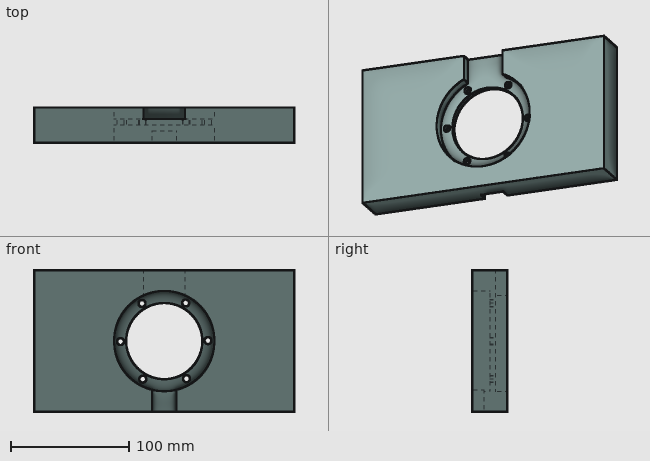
import cadquery as cq
import math

length = 220.0
thickness = 30.0
height = 120.0
front_y = -thickness / 2
back_y = thickness / 2

front_bore_diameter = 85.0
front_bore_depth = 15.0
front_slot_width = 20.5
front_slot_depth = 10.0

back_bore_diameter = 85.0
back_slot_width = 35.2
back_depth = 10.0

bore_diameter = 64.2
hole_diameter = 5.7
hole_circle_diameter = 74.0
hole_count = 6
hole_start_angle = 0.6


def cylinder(diameter, start_y, depth, x=0.0, z=0.0):
    """Cylinder running from start_y toward +Y."""
    return cq.Workplane(
        cq.Solid.makeCylinder(diameter / 2, depth, cq.Vector(x, start_y, z), cq.Vector(0, 1, 0))
    )


def slot(width, start_y, depth, direction):
    """Straight slot from the bore axis to the upper (+1) or lower (-1) edge."""
    return cq.Workplane("XY").box(width, depth, height / 2).translate(
        (0, start_y + depth / 2, direction * height / 4)
    )


result = cq.Workplane("XY").box(length, thickness, height)

result = result.cut(cylinder(front_bore_diameter, front_y, front_bore_depth))
result = result.cut(slot(front_slot_width, front_y, front_slot_depth, -1))

result = result.cut(cylinder(back_bore_diameter, back_y - back_depth, back_depth))
result = result.cut(slot(back_slot_width, back_y - back_depth, back_depth, 1))

result = result.cut(cylinder(bore_diameter, front_y, thickness))
for index in range(hole_count):
    angle = math.radians(hole_start_angle + index * 360 / hole_count)
    hole_x = hole_circle_diameter / 2 * math.cos(angle)
    hole_z = hole_circle_diameter / 2 * math.sin(angle)
    result = result.cut(cylinder(hole_diameter, front_y, thickness, hole_x, hole_z))